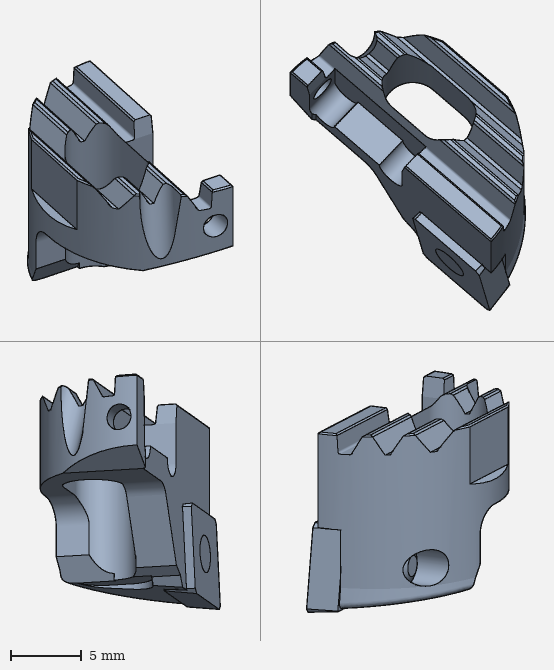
import cadquery as cq
import math

OUTER_RADIUS = 9.52
BACK_Y = -0.2
DEPTH = 15.6
FLARE_Z = -11.25
FLARE_ANGLE = 8.0
EDGE_CHAMFER = 0.12
REACH = 23.4

UNDERSIDE_BACK_Z = -12.99
UNDERSIDE_ANGLE = 5.9
UNDERSIDE_FILLET = 0.4

FLAT_Y = -9.0
FLAT_BOTTOM_Z = -4.29
FLAT_RUNOUT_ANGLE = 30.0

TOOTH_DEPTH = 1.46
TOOTH_PITCH = 2.52
TOOTH_FLANK_ANGLE = 30.0
FIRST_VALLEY_Y = -5.0
VALLEY_COUNT = 2
VALLEY_FLOOR = 0.3
TIP_BEVEL = 0.18
STEP_FILLET = 0.18
STEP_TOP_Y = -1.64
STEP_FLOOR_Y = -1.72
STEP_FLOOR_FRONT_Y = FIRST_VALLEY_Y + TOOTH_PITCH - VALLEY_FLOOR / 2

SLOT_CENTER_X = 1.0
SLOT_Y = -5.25
SLOT_LENGTH = 7.45
SLOT_WIDTH = 4.33

MOUTH_LEFT_X = -4.35
MOUTH_RIGHT_X = 0.0
MOUTH_WIDTH = 5.85
MOUTH_TOP_Z = -12.15
MOUTH_CORNER = 2.15

FLANGE_Z = -6.4
BACK_RELIEF_RADIUS = 1.46
FRONT_RELIEF_RADIUS = 1.81
RELIEF_SLOPE = 60.0
FRONT_EDGE_X = -1.99
FRONT_EDGE_BOTTOM_Z = -10.37
BACK_SLOPE_X = 1.93
BACK_SLOPE_END_Z = -11.7
GULLET_X = -2.15
GULLET_Z = -12.2
TIP_X = -2.73
FLANGE_CORNER_X = 7.3
FLANGE_END_Z = -5.15

POCKET_LEFT_X = -1.01
POCKET_RIGHT_X = 7.65
POCKET_FRONT_Y = -2.67
POCKET_FLOOR_Z = -4.4
WELL_RADIUS = 1.1
POCKET_MOUTH_FLARE = 0.25

PAD_LEFT_X = 7.22

CROSS_HOLE_RADIUS = 0.92
CROSS_HOLE_Y = -1.36
CROSS_HOLE_Z = -3.02

GROOVE_X = 7.5
GROOVE_Y = -5.05
GROOVE_RADIUS = 1.27
GROOVE_DIRECTION = -24.0
GROOVE_LEAN = 19.0

INSERT_FACE_Y = 0.47
INSERT_SEAT_Y = -1.9
INSERT_BOTTOM_Z = -13.2
INSERT_TOP_Z = -6.88
INSERT_LEFT_X = -9.98
INSERT_WIDTH = 6.35
INSERT_LEAN = 10.0
INSERT_CORNER = 0.31
INSERT_SEAT_CORNER = 0.05
INSERT_SIDE_TAPER = 0.21
INSERT_BOTTOM_TAPER = 0.31
INSERT_TOP_TAPER = 0.12

SCREW_X = -6.15
SCREW_Z = -9.9
SCREW_RADIUS = 1.33
SCREW_TIP_RADIUS = 0.76
SCREW_TIP_Y = -6.0
SCREW_TIP_LENGTH = 0.3


def box_between(x0, x1, y0, y1, z0, z1):
    return cq.Workplane("XY").box(x1 - x0, y1 - y0, z1 - z0, centered=False).translate((x0, y0, z0))


def cylinder_along_y(radius, x, z, y0, y1):
    return cq.Workplane("XZ", origin=(x, y0, z)).circle(radius).extrude(y0 - y1)


def half_round_block():
    flare_radius = OUTER_RADIUS + (DEPTH + FLARE_Z) * math.tan(math.radians(FLARE_ANGLE))
    block = (
        cq.Workplane("XZ")
        .polyline([(0, 0), (OUTER_RADIUS, 0), (OUTER_RADIUS, FLARE_Z), (flare_radius, -DEPTH), (0, -DEPTH)])
        .close()
        .revolve(360, (0, 0), (0, 1))
    )
    drop = REACH * math.tan(math.radians(UNDERSIDE_ANGLE))
    below = (
        cq.Workplane("YZ", origin=(-REACH, 0, 0))
        .polyline([
            (REACH, UNDERSIDE_BACK_Z - drop), (-REACH, UNDERSIDE_BACK_Z + drop),
            (-REACH, -REACH), (REACH, -REACH),
        ])
        .close()
        .extrude(2 * REACH)
    )
    block = block.cut(below).faces("<Z").edges().fillet(UNDERSIDE_FILLET)
    return block.cut(box_between(-REACH, REACH, 0, REACH, -REACH, REACH))


def back_face_trim():
    """Everything behind the back face except the pad at the +X end."""
    return (
        cq.Workplane("XY", origin=(0, 0, -REACH))
        .polyline([(-REACH, BACK_Y), (PAD_LEFT_X, BACK_Y), (PAD_LEFT_X - BACK_Y, 0), (-REACH, 0)])
        .close()
        .extrude(2 * REACH)
    )


def front_flat():
    runout = (REACH + FLAT_Y) * math.tan(math.radians(FLAT_RUNOUT_ANGLE))
    return (
        cq.Workplane("YZ", origin=(-REACH, 0, 0))
        .polyline([
            (FLAT_Y, REACH), (FLAT_Y, FLAT_BOTTOM_Z),
            (-REACH, FLAT_BOTTOM_Z - runout), (-REACH, REACH),
        ])
        .close()
        .extrude(2 * REACH)
    )


def gap_along_x(outline):
    return cq.Workplane("YZ", origin=(-REACH, 0, 0)).polyline(outline).close().extrude(2 * REACH)


def gap_side():
    """One side of a tooth gap with its bevelled tip: (distance from the floor edge, z) points."""
    shoulder = (TOOTH_DEPTH - EDGE_CHAMFER) * math.tan(math.radians(TOOTH_FLANK_ANGLE))
    return [(0, -TOOTH_DEPTH), (shoulder, -EDGE_CHAMFER), (shoulder + TIP_BEVEL, 0)]


def step_channel():
    back_side = [
        (STEP_TOP_Y + EDGE_CHAMFER, 0), (STEP_TOP_Y, -EDGE_CHAMFER), (STEP_FLOOR_Y, -TOOTH_DEPTH),
    ]
    front_side = [(STEP_FLOOR_FRONT_Y - out, z) for out, z in gap_side()]
    return gap_along_x(back_side + front_side).faces("<Z").edges("|X").fillet(STEP_FILLET)


def tooth_valley(center_y):
    back_side = [(center_y + VALLEY_FLOOR / 2 + out, z) for out, z in reversed(gap_side())]
    front_side = [(center_y - VALLEY_FLOOR / 2 - out, z) for out, z in gap_side()]
    return gap_along_x(back_side + front_side)


def through_slot():
    return (
        cq.Workplane("XY", origin=(SLOT_CENTER_X, SLOT_Y, -REACH))
        .slot2D(SLOT_LENGTH, SLOT_WIDTH)
        .extrude(2 * REACH)
    )


def slot_mouth():
    half_width = MOUTH_WIDTH / 2
    return box_between(
        MOUTH_LEFT_X, MOUTH_RIGHT_X, SLOT_Y - half_width, SLOT_Y + half_width, -REACH, MOUTH_TOP_Z
    ).edges("|Z and <X").fillet(MOUTH_CORNER)


def front_relief():
    """Space under the flange, through the front wall only."""
    bottom_x = FRONT_EDGE_X - (REACH + FRONT_EDGE_BOTTOM_Z) / math.tan(math.radians(RELIEF_SLOPE))
    return (
        cq.Workplane("XZ", origin=(0, SLOT_Y, 0))
        .moveTo(REACH, FLANGE_Z)
        .lineTo(FRONT_EDGE_X + FRONT_RELIEF_RADIUS, FLANGE_Z)
        .radiusArc((FRONT_EDGE_X, FLANGE_Z - FRONT_RELIEF_RADIUS), -FRONT_RELIEF_RADIUS)
        .lineTo(FRONT_EDGE_X, FRONT_EDGE_BOTTOM_Z)
        .lineTo(bottom_x, -REACH)
        .lineTo(REACH, -REACH)
        .close()
        .extrude(REACH)
    )


def back_relief():
    """Space under the flange, through the whole depth, with the sloping flange end."""
    slope = math.radians(RELIEF_SLOPE)
    tangent = BACK_RELIEF_RADIUS * math.tan(slope / 2)
    end_slope = (FLANGE_END_Z - FLANGE_Z) / (OUTER_RADIUS - FLANGE_CORNER_X)
    return (
        cq.Workplane("XZ", origin=(0, REACH, 0))
        .moveTo(REACH, FLANGE_Z + (REACH - FLANGE_CORNER_X) * end_slope)
        .lineTo(FLANGE_CORNER_X, FLANGE_Z)
        .lineTo(BACK_SLOPE_X + tangent, FLANGE_Z)
        .radiusArc(
            (BACK_SLOPE_X - tangent * math.cos(slope), FLANGE_Z - tangent * math.sin(slope)),
            -BACK_RELIEF_RADIUS,
        )
        .lineTo(BACK_SLOPE_X - (FLANGE_Z - BACK_SLOPE_END_Z) / math.tan(slope), BACK_SLOPE_END_Z)
        .lineTo(GULLET_X, GULLET_Z)
        .lineTo(TIP_X, UNDERSIDE_BACK_Z)
        .lineTo(TIP_X, -REACH)
        .lineTo(REACH, -REACH)
        .close()
        .extrude(2 * REACH)
    )


def back_pocket():
    well = 2 * WELL_RADIUS
    return (
        cq.Workplane("XZ", origin=(0, REACH, 0))
        .moveTo(POCKET_LEFT_X - POCKET_MOUTH_FLARE, 0)
        .lineTo(POCKET_LEFT_X, -TOOTH_DEPTH)
        .lineTo(POCKET_LEFT_X, POCKET_FLOOR_Z)
        .radiusArc((POCKET_LEFT_X + well, POCKET_FLOOR_Z), -WELL_RADIUS)
        .lineTo(POCKET_RIGHT_X - well, POCKET_FLOOR_Z)
        .radiusArc((POCKET_RIGHT_X, POCKET_FLOOR_Z), -WELL_RADIUS)
        .lineTo(POCKET_RIGHT_X, -TOOTH_DEPTH)
        .lineTo(POCKET_RIGHT_X + POCKET_MOUTH_FLARE, 0)
        .close()
        .extrude(REACH - POCKET_FRONT_Y)
    )


def cross_hole():
    return (
        cq.Workplane("YZ", origin=(POCKET_RIGHT_X - WELL_RADIUS, CROSS_HOLE_Y, CROSS_HOLE_Z))
        .circle(CROSS_HOLE_RADIUS)
        .extrude(REACH)
    )


def outer_groove():
    """Leaning round groove, deepest at the top; its +Y side runs straight out along X."""
    round_part = cq.Workplane("XY").circle(GROOVE_RADIUS).extrude(2 * REACH)
    straight_part = box_between(0, REACH, 0, GROOVE_RADIUS, 0, 2 * REACH)
    return (
        round_part.union(straight_part.rotate((0, 0, 0), (0, 0, 1), -GROOVE_DIRECTION))
        .translate((0, 0, -REACH))
        .rotate((0, 0, 0), (0, 1, 0), -GROOVE_LEAN)
        .rotate((0, 0, 0), (0, 0, 1), GROOVE_DIRECTION)
        .translate((GROOVE_X, GROOVE_Y, 0))
    )


def insert_outline(corner, side_inset, bottom_inset, top_inset):
    """Sheared rectangle with cut corners, as (x, z) points."""
    bottom = INSERT_BOTTOM_Z + bottom_inset
    top = INSERT_TOP_Z - top_inset
    lean = math.tan(math.radians(INSERT_LEAN))

    def left(z):
        return INSERT_LEFT_X + side_inset + (z - INSERT_BOTTOM_Z - INSERT_CORNER) * lean

    def right(z):
        return left(z) + INSERT_WIDTH - 2 * side_inset

    low = bottom + corner
    high = top - corner
    return [
        (left(low), low), (left(bottom) + corner, bottom),
        (right(bottom) - corner, bottom), (right(low), low),
        (right(high), high), (right(top) - corner, top),
        (left(top) + corner, top), (left(high), high),
    ]


def insert_blank():
    face = insert_outline(INSERT_CORNER, 0, 0, 0)
    seat = insert_outline(INSERT_SEAT_CORNER, INSERT_SIDE_TAPER, INSERT_BOTTOM_TAPER, INSERT_TOP_TAPER)
    return (
        cq.Workplane("XZ", origin=(0, INSERT_FACE_Y, 0))
        .polyline(face)
        .close()
        .workplane(offset=INSERT_FACE_Y - INSERT_SEAT_Y)
        .polyline(seat)
        .close()
        .loft(ruled=True)
    )


def insert_seat():
    """Room for the insert, open toward -X beside it."""
    inside_insert_x = INSERT_LEFT_X + INSERT_WIDTH / 4
    seat_top_z = INSERT_TOP_Z - INSERT_TOP_TAPER
    opening = box_between(-REACH, inside_insert_x, INSERT_SEAT_Y, REACH, -REACH, seat_top_z)
    return opening.union(insert_blank())


def make_screw():
    screw = cylinder_along_y(SCREW_RADIUS, SCREW_X, SCREW_Z, INSERT_FACE_Y, SCREW_TIP_Y)
    return screw.faces("<Y").chamfer(SCREW_TIP_LENGTH, SCREW_RADIUS - SCREW_TIP_RADIUS)


def screw_hole():
    return cylinder_along_y(SCREW_RADIUS, SCREW_X, SCREW_Z, INSERT_FACE_Y, -REACH)


def make_insert():
    return insert_blank().cut(screw_hole())


def make_housing():
    housing = half_round_block().cut(back_face_trim()).cut(front_flat())
    housing = housing.faces(">Z").edges().chamfer(EDGE_CHAMFER)
    housing = housing.cut(step_channel())
    for index in range(VALLEY_COUNT):
        housing = housing.cut(tooth_valley(FIRST_VALLEY_Y - index * TOOTH_PITCH))
    housing = housing.cut(through_slot()).cut(slot_mouth())
    housing = housing.cut(front_relief()).cut(back_relief()).cut(back_pocket())
    housing = housing.cut(cross_hole()).cut(outer_groove())
    return housing.cut(insert_seat()).cut(screw_hole())


housing = make_housing()
insert = make_insert()
screw = make_screw()

result = cq.Compound.makeCompound([housing.val(), insert.val(), screw.val()])